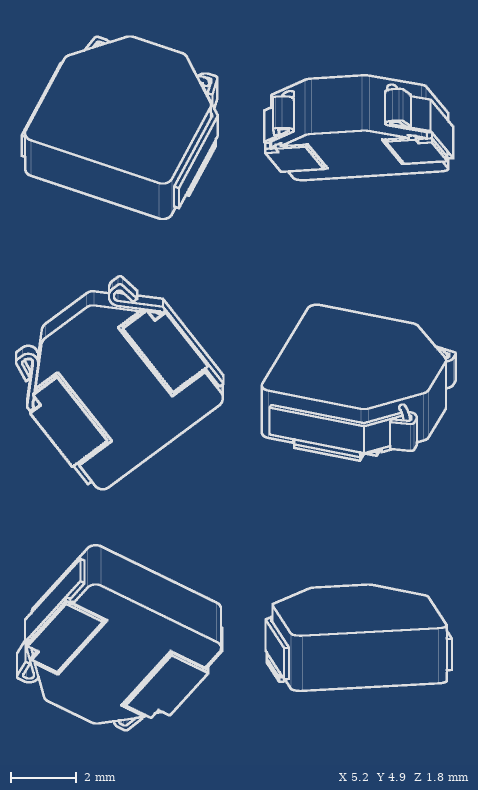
import cadquery as cq
import math


overall_width = 5.2
sheet = 0.155
side_gap = 0.03
slant_gap = 0.01
half_width = overall_width / 2
half_block = half_width - sheet - side_gap
half_length = 2.45
block_height = 1.76
chamfer = 1.5
corner_radius = 0.3

foot_thickness = 0.135
foot_drop = 0.04
foot_top = foot_thickness - foot_drop
half_foot = 1.26
foot_inner_x = -1.255
foot_shoulder_x = -2.185
foot_clearance = 0.1

tab_length = 2.115
tab_start_y = -half_foot

clip_bottom = 0.275
clip_height = 1.0
clip_end_y = -2.045
hook_inner_radius = 0.145
hook_outer_radius = hook_inner_radius + sheet
hook_center_y = 2.075
leg_lean = math.radians(9.3)
leg_tip_x = -2.13
leg_tip_y = 1.67
leg_outer_fillet = 0.105
leg_inner_fillet = 0.08

wire_diameter = 0.2
wire_height = 1.465
wire_end_x = -1.75
wire_stub = 0.025

DIAGONAL = math.sqrt(2)
HALF_DIAGONAL = DIAGONAL / 2
block_slant = half_length - chamfer + half_block
clip_inner_slant = block_slant + slant_gap * DIAGONAL
clip_outer_slant = clip_inner_slant + sheet * DIAGONAL
hook_center_x = hook_center_y - clip_inner_slant - hook_outer_radius * DIAGONAL


def make_block():
    """Block with two chamfered corners, rounded upright edges and two foot recesses."""
    block = (
        cq.Workplane("XY")
        .polyline([
            (-half_block, -half_length),
            (half_block, -half_length),
            (half_block, half_length - chamfer),
            (half_block - chamfer, half_length),
            (-half_block + chamfer, half_length),
            (-half_block, half_length - chamfer),
        ])
        .close()
        .extrude(block_height)
        .edges("|Z")
        .fillet(corner_radius)
    )
    recess_inner_x = foot_inner_x + foot_clearance
    recess = cq.Workplane("XY").box(
        half_width + recess_inner_x, 2 * (half_foot + foot_clearance), foot_top, centered=(False, True, False)
    ).translate((-half_width, 0, 0))
    return block.cut(recess).cut(recess.mirror("YZ"))


def on_hook(radius, angle_degrees):
    """Point on a circle about the hook center."""
    angle = math.radians(angle_degrees)
    return (hook_center_x + radius * math.cos(angle), hook_center_y + radius * math.sin(angle))


def make_left_clip():
    """Bent strip: side wall, slanted wall, and a hook ending in a leaning leg."""
    inner_wall_x = -half_width + sheet
    hook_top_outer = hook_center_y + hook_outer_radius
    hook_top_inner = hook_center_y + hook_inner_radius
    leg_inner_tip_x = leg_tip_x + sheet / math.cos(leg_lean)
    leg_outer_top = (leg_tip_x + (hook_top_outer - leg_tip_y) * math.tan(leg_lean), hook_top_outer)
    leg_inner_top = (leg_inner_tip_x + (hook_top_inner - leg_tip_y) * math.tan(leg_lean), hook_top_inner)

    clip = (
        cq.Workplane("XY", origin=(0, 0, clip_bottom))
        .moveTo(-half_width, clip_end_y)
        .lineTo(-half_width, clip_outer_slant - half_width)
        .lineTo(*on_hook(hook_inner_radius, -45))
        .threePointArc(on_hook(hook_inner_radius, 0), on_hook(hook_inner_radius, 90))
        .lineTo(*leg_inner_top)
        .lineTo(leg_inner_tip_x, leg_tip_y)
        .lineTo(leg_tip_x, leg_tip_y)
        .lineTo(*leg_outer_top)
        .lineTo(*on_hook(hook_outer_radius, 90))
        .threePointArc(on_hook(hook_outer_radius, 0), on_hook(hook_outer_radius, -45))
        .lineTo(inner_wall_x, clip_inner_slant + inner_wall_x)
        .lineTo(inner_wall_x, clip_end_y)
        .close()
        .extrude(clip_height)
    )
    mid_height = clip_bottom + clip_height / 2
    for corner, radius in ((leg_outer_top, leg_outer_fillet), (leg_inner_top, leg_inner_fillet)):
        clip = clip.edges(cq.selectors.NearestToPointSelector((*corner, mid_height))).fillet(radius)
    return clip


def make_left_tab():
    """Short upright plate flush with the clip, reaching down to the foot."""
    return cq.Workplane("XY").box(
        sheet, tab_length, clip_bottom - foot_top, centered=False
    ).translate((-half_width, tab_start_y, foot_top))


def make_left_foot():
    """Flat solder pad: wide under the block, narrowed to the tab length at its outer end."""
    tab_end_y = tab_start_y + tab_length
    return (
        cq.Workplane("XY", origin=(0, 0, -foot_drop))
        .polyline([
            (-half_width, tab_start_y),
            (foot_inner_x, -half_foot),
            (foot_inner_x, half_foot),
            (foot_shoulder_x, half_foot),
            (foot_shoulder_x, tab_end_y),
            (-half_width, tab_end_y),
        ])
        .close()
        .extrude(foot_thickness)
    )


def make_left_wire():
    """Round wire leaving the slanted block face and bending down into the hook."""
    reach = (hook_center_y - wire_end_x - block_slant) / DIAGONAL
    bend_radius = reach - wire_stub
    start = (wire_end_x + reach * HALF_DIAGONAL, hook_center_y - reach * HALF_DIAGONAL, wire_height)
    bend_plane = cq.Plane(origin=start, xDir=(-1, 1, 0), normal=(1, 1, 0))
    path = (
        cq.Workplane(bend_plane)
        .lineTo(wire_stub, 0)
        .radiusArc((reach, -bend_radius), bend_radius)
    )
    section_plane = cq.Plane(origin=start, xDir=(1, 1, 0), normal=(-1, 1, 0))
    return cq.Workplane(section_plane).circle(wire_diameter / 2).sweep(path)


block = make_block()
bodies = [block.solids().val()]
for make_left_body in (make_left_clip, make_left_tab, make_left_foot, make_left_wire):
    left_body = make_left_body()
    right_body = left_body.mirror("YZ")
    bodies += [left_body.solids().val(), right_body.solids().val()]

result = cq.Compound.makeCompound(bodies)